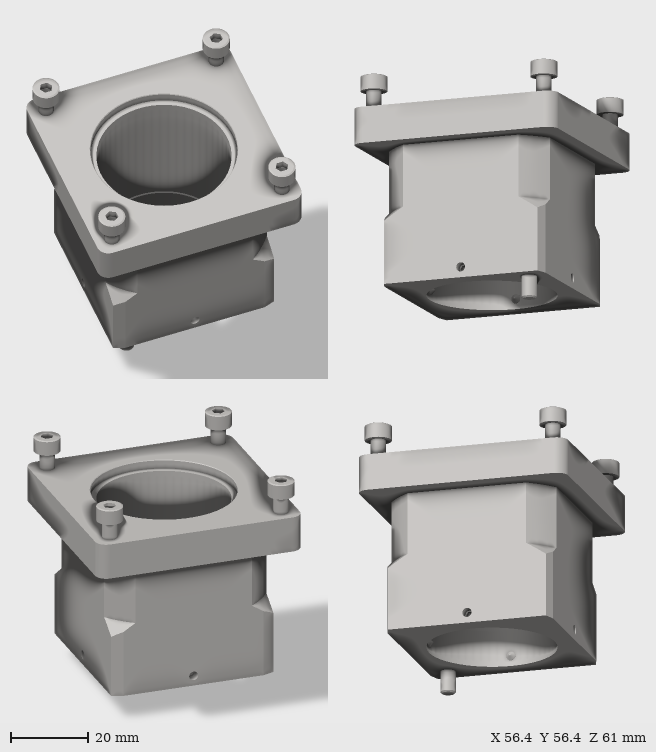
import cadquery as cq
import math


flange_side = 56.4
flange_thickness = 9.65
flange_corner_radius = 3.05

body_side = 44.7
body_height = 36.55
corner_cut_x = 1.05
corner_cut_y = 3.05
flange_top = body_height + flange_thickness

neck_radius = 27.5
neck_bottom = 20.1
flare_width = 6.1

bore_diameter = 35.0
recess_diameter = 38.1
recess_depth = 2.45
mouth_chamfer = 0.2
lip_diameter = 34.0
lip_height = 9.65

screw_offset = 23.6
screw_rise = 8.9
shank_diameter = 4.0
head_diameter = 7.0
head_height = 4.0
head_chamfer_height = 0.2
head_chamfer_width = 0.4
head_socket_flats = 3.0
head_socket_depth = 2.0

pin_diameter = 4.0
pin_offset = 17.0
pin_length = 5.9
pin_end_diameter = 3.25

set_screw_diameter = 2.45
set_screw_height = 2.75
set_screw_tip_radius = 15.7
set_screw_recess = 2.45
set_socket_flats = 1.65
set_socket_depth = 1.2


def hex_socket(flats, depth):
    """Hexagonal pocket below Z = 0 with a 120 degree conical bottom; two corners lie on X."""
    corner_diameter = flats / math.cos(math.pi / 6)
    pocket = cq.Workplane("XY").polygon(6, corner_diameter).extrude(-depth)
    cone_height = flats / 2 * math.tan(math.pi / 6)
    cone = cq.Solid.makeCone(flats / 2, 0, cone_height, pnt=cq.Vector(0, 0, -depth), dir=cq.Vector(0, 0, -1))
    return pocket.union(cq.Workplane(cone))


def make_flange():
    flange = cq.Workplane("XY", origin=(0, 0, body_height)).rect(flange_side, flange_side)
    return flange.extrude(flange_thickness).edges("|Z").fillet(flange_corner_radius)


def make_body():
    half = body_side / 2
    inner_x = half - corner_cut_x
    inner_y = half - corner_cut_y
    outline = [
        (inner_x, -half), (half, -inner_y), (half, inner_y), (inner_x, half),
        (-inner_x, half), (-half, inner_y), (-half, -inner_y), (-inner_x, -half),
    ]
    block = cq.Workplane("XY").polyline(outline).close().extrude(body_height)
    flare_radius = neck_radius + flare_width
    neck_profile = [
        (0, 0), (flare_radius, 0), (flare_radius, neck_bottom - flare_width),
        (neck_radius, neck_bottom), (neck_radius, body_height), (0, body_height),
    ]
    envelope = cq.Workplane("XZ").polyline(neck_profile).close().revolve(360, (0, 0), (0, 1))
    return block.intersect(envelope)


def make_bore():
    lip = cq.Workplane("XY").circle(lip_diameter / 2).extrude(flange_top)
    bore = cq.Workplane("XY", origin=(0, 0, lip_height)).circle(bore_diameter / 2)
    bore = bore.extrude(flange_top - lip_height)
    recess = cq.Workplane("XY", origin=(0, 0, flange_top)).circle(recess_diameter / 2).extrude(-recess_depth)
    mouth = cq.Solid.makeCone(
        recess_diameter / 2, recess_diameter / 2 + mouth_chamfer, mouth_chamfer,
        pnt=cq.Vector(0, 0, flange_top - mouth_chamfer),
    )
    return lip.union(bore).union(recess).union(cq.Workplane(mouth))


def make_cap_screw():
    """Cap screw on the Z axis, its shank starting at Z = 0."""
    shank_length = screw_rise - head_height
    shank = cq.Workplane("XY").circle(shank_diameter / 2).extrude(shank_length)
    head = cq.Workplane("XY", origin=(0, 0, shank_length)).circle(head_diameter / 2).extrude(head_height)
    head = head.faces(">Z").chamfer(head_chamfer_height, head_chamfer_width)
    socket = hex_socket(head_socket_flats, head_socket_depth).translate((0, 0, screw_rise))
    return shank.union(head).cut(socket)


def make_pin():
    end_chamfer = (pin_diameter - pin_end_diameter) / 2
    pin = cq.Workplane("XY").circle(pin_diameter / 2).extrude(-pin_length)
    return pin.faces("<Z").chamfer(end_chamfer).translate((pin_offset, -pin_offset, 0))


def make_set_screw_hole():
    """Hole from the +X side of the body into the bore."""
    hole = cq.Workplane("YZ", origin=(0, 0, set_screw_height)).circle(set_screw_diameter / 2)
    return hole.extrude(body_side / 2)


def make_set_screw():
    """Set screw in the +X side, its 90 degree point reaching into the bore."""
    radius = set_screw_diameter / 2
    head_x = body_side / 2 - set_screw_recess
    profile = [
        (set_screw_tip_radius, 0), (set_screw_tip_radius + radius, radius), (head_x, radius), (head_x, 0),
    ]
    screw = cq.Workplane("XY").polyline(profile).close().revolve(360, (0, 0), (1, 0))
    socket = hex_socket(set_socket_flats, set_socket_depth).rotate((0, 0, 0), (0, 0, 1), 90)
    socket = socket.rotate((0, 0, 0), (0, 1, 0), 90).translate((head_x, 0, 0))
    return screw.cut(socket).translate((0, 0, set_screw_height))


def turned(shape, quarter):
    """The shape turned about the bore axis by a number of quarter turns."""
    return shape.rotate((0, 0, 0), (0, 0, 1), 90 * quarter)


result = make_body().union(make_flange()).cut(make_bore()).union(make_pin())

cap_screw = make_cap_screw().translate((-screw_offset, screw_offset, flange_top))
set_screw_hole = make_set_screw_hole()
set_screw = make_set_screw()
for quarter in range(4):
    result = result.union(turned(cap_screw, quarter))
    result = result.cut(turned(set_screw_hole, quarter))
for quarter in range(4):
    result = result.union(turned(set_screw, quarter))